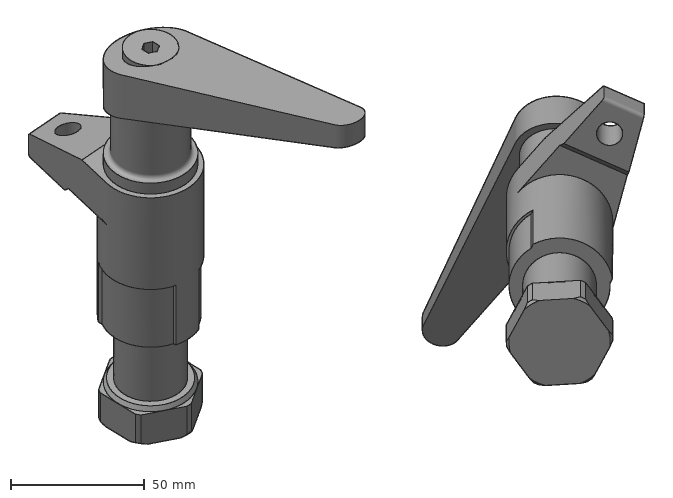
import cadquery as cq
import math

HEX_TOP = 14.9
HEAD_TOP = 16.7
HOUSING_BOTTOM = 47.3
RELIEF_TOP = 76.3
HOUSING_TOP = 121.0
FLANGE_TOP = 126.2
BOLT_TOP = 177.5
LEVER_TOP = 203.9

FLAT_TO_FLAT_ANGLE = 60
HEX_ACROSS_FLATS = 35.7
HEX_CORNER_RADIUS = 20.0
HEX_CHAMFER = 1.0
COLLAR_TOP_RADIUS = 16.5
COLLAR_BASE_RADIUS = 17.7
SHANK_RADIUS = 13.9
STUD_RADIUS = 10.5
SOCKET_ACROSS_FLATS = 6.0
SOCKET_DEPTH = 6.1
SOCKET_CONE_ANGLE = math.radians(120)

HOUSING_RADIUS = 20.0
RELIEF_RADIUS = 19.0
RELIEF_BACK_HALF_WIDTH = 16.5
RELIEF_FRONT_HALF_WIDTH = 6.3
LUG_END_X = -55.0
LUG_END_HALF_WIDTH = 8.4
LUG_SLOPE_TOP_X = -20.2
LUG_END_TOP = 109.3
LUG_PAD_BOTTOM = 98.3
LUG_BOTTOM = 100.7
LUG_PAD_X = -31.4
LUG_EDGE_FILLET = 1.5
LUG_HOLE_X = -42.6
LUG_HOLE_RADIUS = 4.9

SLEEVE_RADIUS = 15.0
FLANGE_RADIUS = 17.7
FLANGE_FILLET = 1.8
HUB_RADIUS = 17.7
TIP_RADIUS = 7.1
TIP_X = 107.9
TIP_THICKNESS = 10.5
LEVER_TOP_ANGLE = math.radians(14.8)
LEVER_BOTTOM_ANGLE = math.radians(20)


def cylinder(radius, bottom, top):
    return cq.Workplane("XY").workplane(offset=bottom).circle(radius).extrude(top - bottom)


def hexagonal_prism(across_flats, bottom, top):
    """Hexagonal prism about the Z axis with two of its flats facing -Y and +Y."""
    return (
        cq.Workplane("XY")
        .workplane(offset=bottom)
        .polygon(6, across_flats, circumscribed=True)
        .extrude(top - bottom)
        .rotate((0, 0, 0), (0, 0, 1), FLAT_TO_FLAT_ANGLE / 2)
    )


def make_socket():
    """Hexagonal key socket whose floor is a conical drill point."""
    corner_radius = SOCKET_ACROSS_FLATS / math.sqrt(3)
    cone_height = corner_radius / math.tan(SOCKET_CONE_ANGLE / 2)
    shoulder = BOLT_TOP - SOCKET_DEPTH
    drill_profile = [
        (0, BOLT_TOP),
        (corner_radius, BOLT_TOP),
        (corner_radius, shoulder),
        (0, shoulder - cone_height),
    ]
    drill = cq.Workplane("XZ").polyline(drill_profile).close().revolve(360, (0, 0), (0, 1))
    return hexagonal_prism(SOCKET_ACROSS_FLATS, shoulder - cone_height, BOLT_TOP).intersect(drill)


def make_bolt():
    """Hex-headed bolt with a shank and a thinner stud that reaches through the lever."""
    corner_limit = cylinder(HEX_CORNER_RADIUS, 0, HEX_TOP).faces("<Z").chamfer(HEX_CHAMFER)
    head = hexagonal_prism(HEX_ACROSS_FLATS, 0, HEX_TOP).intersect(corner_limit)
    stem_profile = [
        (0, HEX_TOP),
        (COLLAR_BASE_RADIUS, HEX_TOP),
        (COLLAR_TOP_RADIUS, HEAD_TOP),
        (SHANK_RADIUS, HEAD_TOP),
        (SHANK_RADIUS, HOUSING_TOP),
        (STUD_RADIUS, HOUSING_TOP),
        (STUD_RADIUS, BOLT_TOP),
        (0, BOLT_TOP),
    ]
    stem = cq.Workplane("XZ").polyline(stem_profile).close().revolve(360, (0, 0), (0, 1))
    return head.union(stem).cut(make_socket())


def make_lug():
    """Tapered lug whose sides run tangent into the housing cylinder."""
    end_distance = math.hypot(LUG_END_X, LUG_END_HALF_WIDTH)
    end_angle = math.atan2(LUG_END_HALF_WIDTH, LUG_END_X)
    tangent_angle = end_angle - math.acos(HOUSING_RADIUS / end_distance)
    tangent_x = HOUSING_RADIUS * math.cos(tangent_angle)
    tangent_y = HOUSING_RADIUS * math.sin(tangent_angle)
    side_profile = [
        (tangent_x, HOUSING_TOP),
        (LUG_SLOPE_TOP_X, HOUSING_TOP),
        (LUG_END_X, LUG_END_TOP),
        (LUG_END_X, LUG_PAD_BOTTOM),
        (LUG_PAD_X, LUG_PAD_BOTTOM),
        (LUG_PAD_X + LUG_BOTTOM - LUG_PAD_BOTTOM, LUG_BOTTOM),
        (tangent_x, LUG_BOTTOM),
    ]
    side = (
        cq.Workplane("XZ")
        .polyline(side_profile)
        .close()
        .extrude(HOUSING_RADIUS, both=True)
        .edges("|Y and <X")
        .fillet(LUG_EDGE_FILLET)
    )
    plan = (
        cq.Workplane("XY")
        .workplane(offset=LUG_PAD_BOTTOM)
        .moveTo(LUG_END_X, -LUG_END_HALF_WIDTH)
        .lineTo(tangent_x, -tangent_y)
        .lineTo(tangent_x, tangent_y)
        .lineTo(LUG_END_X, LUG_END_HALF_WIDTH)
        .close()
        .extrude(HOUSING_TOP - LUG_PAD_BOTTOM)
    )
    hole = cylinder(LUG_HOLE_RADIUS, LUG_PAD_BOTTOM, HOUSING_TOP).translate((LUG_HOLE_X, 0, 0))
    return side.intersect(plan).cut(hole)


def make_land(outer_x, half_width):
    """Block from the axis out to outer_x, covering the full-diameter land beside the relief."""
    return (
        cq.Workplane("XY")
        .workplane(offset=HOUSING_BOTTOM)
        .moveTo(0, -half_width)
        .lineTo(outer_x, -half_width)
        .lineTo(outer_x, half_width)
        .lineTo(0, half_width)
        .close()
        .extrude(RELIEF_TOP - HOUSING_BOTTOM)
    )


def make_relief():
    """Shallow step cut into both flanks of the housing's lower end."""
    ring = cylinder(HOUSING_RADIUS, HOUSING_BOTTOM, RELIEF_TOP).cut(
        cylinder(RELIEF_RADIUS, HOUSING_BOTTOM, RELIEF_TOP)
    )
    back_land = make_land(-HOUSING_RADIUS, RELIEF_BACK_HALF_WIDTH)
    front_land = make_land(HOUSING_RADIUS, RELIEF_FRONT_HALF_WIDTH)
    return ring.cut(back_land).cut(front_land)


def make_housing():
    """Cylindrical housing bored for the bolt shank, with a lug on the -X side."""
    return (
        cylinder(HOUSING_RADIUS, HOUSING_BOTTOM, HOUSING_TOP)
        .union(make_lug())
        .cut(make_relief())
        .cut(cylinder(SHANK_RADIUS, HOUSING_BOTTOM, HOUSING_TOP))
    )


def make_arm():
    """Tapered arm rising towards +X: a round hub and a round tip joined by tangent sides."""
    tip_centre_x = TIP_X - TIP_RADIUS
    taper_sin = (HUB_RADIUS - TIP_RADIUS) / tip_centre_x
    taper_cos = math.sqrt(1 - taper_sin**2)
    hub_tangent = (HUB_RADIUS * taper_sin, HUB_RADIUS * taper_cos)
    tip_tangent = (tip_centre_x + TIP_RADIUS * taper_sin, TIP_RADIUS * taper_cos)
    plan = (
        cq.Workplane("XY")
        .workplane(offset=HOUSING_TOP)
        .moveTo(hub_tangent[0], -hub_tangent[1])
        .lineTo(tip_tangent[0], -tip_tangent[1])
        .threePointArc((TIP_X, 0), tip_tangent)
        .lineTo(*hub_tangent)
        .threePointArc((-HUB_RADIUS, 0), (hub_tangent[0], -hub_tangent[1]))
        .close()
        .extrude(LEVER_TOP - HOUSING_TOP)
    )
    length = TIP_X + HUB_RADIUS
    tip_bottom = LEVER_TOP - TIP_THICKNESS
    side_profile = [
        (TIP_X, LEVER_TOP),
        (-HUB_RADIUS, LEVER_TOP - length * math.tan(LEVER_TOP_ANGLE)),
        (-HUB_RADIUS, tip_bottom - length * math.tan(LEVER_BOTTOM_ANGLE)),
        (TIP_X, tip_bottom),
    ]
    side = cq.Workplane("XZ").polyline(side_profile).close().extrude(HUB_RADIUS, both=True)
    return plan.intersect(side)


def make_lever():
    """Lever arm with a flanged sleeve that stands on the housing, bored for the stud."""
    sleeve_top = LEVER_TOP - (TIP_X + SLEEVE_RADIUS) * math.tan(LEVER_TOP_ANGLE)
    fillet_outer_radius = SLEEVE_RADIUS + FLANGE_FILLET
    fillet_middle = FLANGE_FILLET * (1 - math.sqrt(0.5))
    sleeve = (
        cq.Workplane("XZ")
        .moveTo(0, HOUSING_TOP)
        .lineTo(FLANGE_RADIUS, HOUSING_TOP)
        .lineTo(FLANGE_RADIUS, FLANGE_TOP)
        .lineTo(fillet_outer_radius, FLANGE_TOP)
        .threePointArc(
            (SLEEVE_RADIUS + fillet_middle, FLANGE_TOP + fillet_middle),
            (SLEEVE_RADIUS, FLANGE_TOP + FLANGE_FILLET),
        )
        .lineTo(SLEEVE_RADIUS, sleeve_top)
        .lineTo(0, sleeve_top)
        .close()
        .revolve(360, (0, 0), (0, 1))
    )
    return sleeve.union(make_arm()).cut(cylinder(STUD_RADIUS, HOUSING_TOP, LEVER_TOP))


bolt = make_bolt()
housing = make_housing()
lever = make_lever()

result = cq.Compound.makeCompound([bolt.val(), housing.val(), lever.val()])